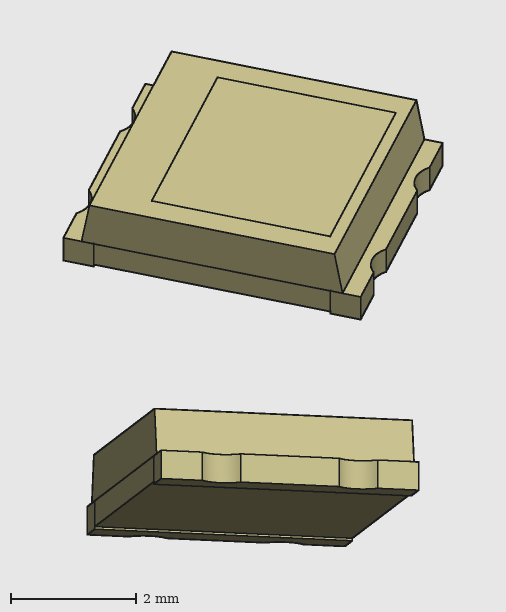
import cadquery as cq

length = 5.0
width = 4.24
height = 1.22

terminal_length = 0.51
terminal_height = 0.46
notch_radius = 0.45
notch_depth = 0.13
notch_spacing = 2.25

substrate_clearance = 0.04
substrate_length = length - 2 * terminal_length

cover_height = height - terminal_height
cover_bottom_length = 4.39
cover_top_length = 4.12

window_length = 3.0
window_width = 3.4
window_offset_x = 0.35


def make_substrate():
    """Flat board between the two terminals."""
    thickness = terminal_height - substrate_clearance
    return (
        cq.Workplane("XY", origin=(0, 0, substrate_clearance))
        .box(substrate_length, width, thickness, centered=(True, True, False))
    )


def make_terminal(side):
    """End bar at -X (side = -1) or +X (side = 1) with two round edge notches."""
    center_x = side * (length - terminal_length) / 2
    bar = (
        cq.Workplane("XY", origin=(center_x, 0, 0))
        .box(terminal_length, width, terminal_height, centered=(True, True, False))
    )
    notch_x = side * (length / 2 + notch_radius - notch_depth)
    notches = (
        cq.Workplane("XY")
        .pushPoints([(notch_x, -notch_spacing / 2), (notch_x, notch_spacing / 2)])
        .circle(notch_radius)
        .extrude(terminal_height)
    )
    return bar.cut(notches)


def make_window():
    """Rectangular block set into the cover."""
    return (
        cq.Workplane("XY", origin=(window_offset_x, 0, terminal_height))
        .box(window_length, window_width, cover_height, centered=(True, True, False))
    )


def make_cover(window):
    """Trapezoidal cover with an opening that fits the window."""
    block = (
        cq.Workplane("XZ", origin=(0, width / 2, 0))
        .moveTo(-cover_bottom_length / 2, terminal_height)
        .lineTo(cover_bottom_length / 2, terminal_height)
        .lineTo(cover_top_length / 2, height)
        .lineTo(-cover_top_length / 2, height)
        .close()
        .extrude(width)
    )
    return block.cut(window)


substrate = make_substrate()
terminals = [make_terminal(side) for side in (-1, 1)]
window = make_window()
cover = make_cover(window)

result = cq.Compound.makeCompound([
    substrate.val(),
    *[terminal.val() for terminal in terminals],
    window.val(),
    cover.val(),
])